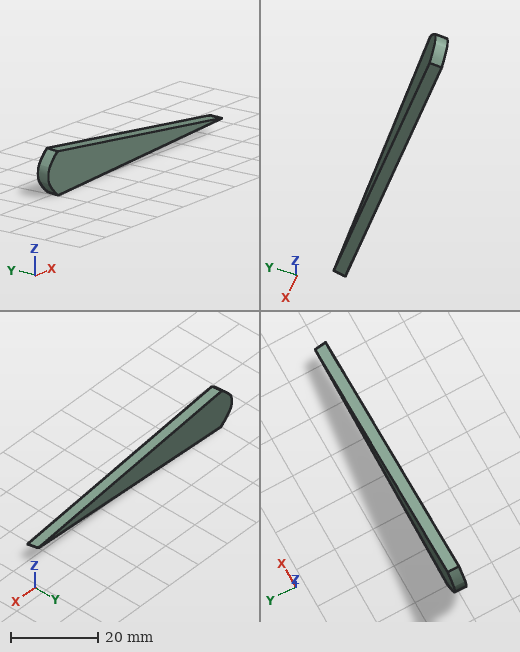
import cadquery as cq
import math

LENGTH = 66.99
THICKNESS = 3.0
HEIGHT = 10.9

REAR_RISE = 0.28
REAR_TIP_SETBACK = 0.4

UPPER_CORNER_X = 3.55
LOWER_CORNER_X = 3.85
NOSE_TOP_Z = 7.43
NOSE_BOTTOM_Z = 3.37
NOSE_DEPTH = 0.5
SHOULDER_BOW = 0.2
TIP_Z = 3.15
TIP_LAND = 0.12


def bowed_midpoint(start, end, bow):
    """Middle of the arc from start to end, bowed to the left of that direction."""
    dx = end[0] - start[0]
    dz = end[1] - start[1]
    chord = math.hypot(dx, dz)
    middle_x = (start[0] + end[0]) / 2
    middle_z = (start[1] + end[1]) / 2
    return (middle_x - bow * dz / chord, middle_z + bow * dx / chord)


def blade_outline(y, rise, tip_x):
    """Closed blade outline in the plane at y, with every point lifted by rise."""
    lower_corner = (LOWER_CORNER_X, rise)
    nose_bottom = (NOSE_DEPTH, NOSE_BOTTOM_Z + rise)
    nose_top = (NOSE_DEPTH, NOSE_TOP_Z + rise)
    upper_corner = (UPPER_CORNER_X, HEIGHT - REAR_RISE + rise)
    tip_top = (tip_x, TIP_Z + TIP_LAND + rise)
    tip_bottom = (tip_x, TIP_Z + rise)

    outline = (
        cq.Workplane("XZ", origin=(0, y, 0))
        .moveTo(*lower_corner)
        .threePointArc(bowed_midpoint(lower_corner, nose_bottom, SHOULDER_BOW), nose_bottom)
        .threePointArc(bowed_midpoint(nose_bottom, nose_top, NOSE_DEPTH), nose_top)
        .threePointArc(bowed_midpoint(nose_top, upper_corner, SHOULDER_BOW), upper_corner)
        .lineTo(*tip_top)
        .lineTo(*tip_bottom)
        .close()
    )
    return outline.val()


front_outline = blade_outline(-THICKNESS / 2, 0, LENGTH)
rear_outline = blade_outline(THICKNESS / 2, REAR_RISE, LENGTH - REAR_TIP_SETBACK)

blade = cq.Solid.makeLoft([front_outline, rear_outline], True)
result = cq.Workplane("XY").add(blade)